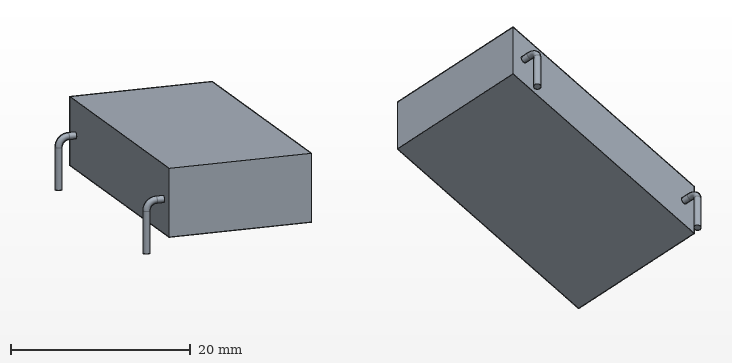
import cadquery as cq

body_length = 31.0
body_width = 17.0
body_height = 8.0

lead_diameter = 0.8
lead_spacing = 27.4
lead_exit_height = 3.97
lead_reach = 2.42
lead_drop = 2.1
bend_radius = 1.15

front_y = -body_width / 2
lead_y = front_y - lead_reach + lead_diameter / 2
bend_start_y = lead_y + bend_radius
bend_end_z = lead_exit_height - bend_radius


def make_lead(x):
    """Lead at the given X: straight stub, quarter bend, straight leg."""
    section = cq.Workplane("XZ", origin=(x, front_y, lead_exit_height)).circle(lead_diameter / 2)
    stub = section.extrude(front_y - bend_start_y)
    bend = (
        cq.Workplane("XZ", origin=(x, bend_start_y, lead_exit_height))
        .circle(lead_diameter / 2)
        .revolve(90, (-0.3, -bend_radius), (0.3, -bend_radius))
    )
    leg = (
        cq.Workplane("XY", origin=(x, lead_y, -lead_drop))
        .circle(lead_diameter / 2)
        .extrude(bend_end_z + lead_drop)
    )
    return stub.union(bend).union(leg)


result = cq.Workplane("XY").box(body_length, body_width, body_height, centered=(True, True, False))
for side in (-1, 1):
    result = result.union(make_lead(side * lead_spacing / 2))